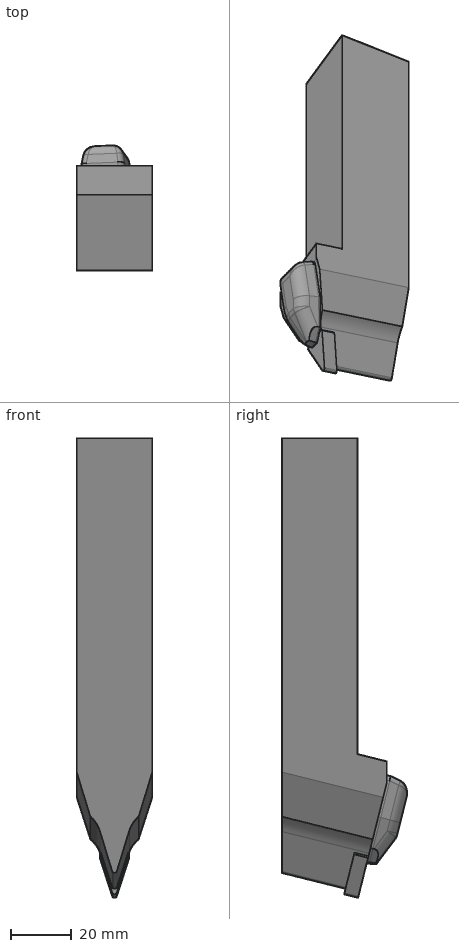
import cadquery as cq
import math


tool_width = 24.92
shank_depth = 25.0
head_depth = 34.6
step_height = 104.0
rake_angle = 14.0
half_nose_angle = 17.5
nose_radius = 0.8

face_height = 61.0
insert_thickness = 4.7625
insert_tip_depth = 140.77
insert_top_depth = 126.6
insert_corner_chamfer = 0.6
blade_tip_depth = 138.9
shoulder_end_depth = 120.9
neck_end_depth = 125.6
neck_radius = 10.0
taper_start_depth = 106.6

clamp_swing = 10.0
clamp_back_x = -4.15
clamp_back_depth = 100.2
clamp_half_width = 7.2
clamp_straight = 14.5
clamp_facet_length = 10.4
clamp_facet_inset = 2.4
clamp_nose_length = 4.13
clamp_nose_inset = 3.23
clamp_corner_radius = 1.905
clamp_base_height = 0.7
clamp_height = 7.5
clamp_draft = 10.0
clamp_root = 1.5
clamp_slope_start = 18.0
clamp_nose_height = 3.0
clamp_edge_radius = 4.4
clamp_nose_clearance = 1.0

rake = math.radians(rake_angle)
nose = math.radians(half_nose_angle)
half_width = tool_width / 2
seat_height = face_height - insert_thickness
clamp_length = clamp_straight + clamp_facet_length + clamp_nose_length
lowest_rounded_edge = (clamp_height + clamp_nose_height) / 2
reach = 200.0


def raked_plane(height):
    """Plane parallel to the cutting face: local x is X, local y is the depth along the face."""
    normal = cq.Vector(0, math.cos(rake), -math.sin(rake))
    return cq.Plane(origin=normal * height, xDir=(1, 0, 0), normal=normal)


def v_half_width(depth, tip_depth):
    """Half width of a nose-rounded V at a depth above its tip."""
    apex_depth = tip_depth + nose_radius * (1 / math.sin(nose) - 1)
    return (apex_depth - depth) * math.tan(nose)


def nose_tangent(tip_depth):
    """Point where the right flank of the V runs into the nose arc."""
    return (
        nose_radius * math.cos(nose),
        tip_depth - nose_radius * (1 - math.sin(nose)),
    )


def blade_prism():
    """Outline of the tapered blade, swept along the rake direction."""
    shoulder_x = half_width - (shoulder_end_depth - taper_start_depth) * math.tan(nose)
    neck_x = v_half_width(neck_end_depth, blade_tip_depth)
    tangent_x, tangent_depth = nose_tangent(blade_tip_depth)
    return (
        cq.Workplane(raked_plane(-reach))
        .moveTo(-half_width, -reach)
        .lineTo(-half_width, taper_start_depth)
        .lineTo(-shoulder_x, shoulder_end_depth)
        .radiusArc((-neck_x, neck_end_depth), -neck_radius)
        .lineTo(-tangent_x, tangent_depth)
        .threePointArc((0, blade_tip_depth), (tangent_x, tangent_depth))
        .lineTo(neck_x, neck_end_depth)
        .radiusArc((shoulder_x, shoulder_end_depth), -neck_radius)
        .lineTo(half_width, taper_start_depth)
        .lineTo(half_width, -reach)
        .close()
        .extrude(2 * reach)
    )


def side_prism():
    """Side outline: straight shank, stepped head and raked cutting face."""
    head_top = step_height + (head_depth - shank_depth) * math.tan(rake)
    face_top = (face_height - head_depth * math.cos(rake)) / math.sin(rake)
    face_foot_y = (face_height - reach * math.sin(rake)) / math.cos(rake)
    return (
        cq.Workplane("YZ")
        .moveTo(0, 0)
        .lineTo(shank_depth, 0)
        .lineTo(shank_depth, -step_height)
        .lineTo(head_depth, -head_top)
        .lineTo(head_depth, -face_top)
        .lineTo(face_foot_y, -reach)
        .lineTo(0, -reach)
        .close()
        .extrude(half_width, both=True)
    )


def insert_seat():
    """Space removed from the cutting face for the insert and open below it."""
    return (
        cq.Workplane(raked_plane(seat_height))
        .moveTo(0, (insert_top_depth + reach) / 2)
        .rect(tool_width, reach - insert_top_depth)
        .extrude(insert_thickness)
    )


def clamp_outline(height):
    """Plan outline of the clamp from its back edge: straight sides, then a facet and a nose bevel."""
    facet_end = clamp_straight + clamp_facet_length
    facet_x = clamp_half_width - clamp_facet_inset
    nose_x = facet_x - clamp_nose_inset
    return (
        cq.Workplane("XY", origin=(0, 0, height))
        .moveTo(-clamp_half_width, 0)
        .lineTo(clamp_half_width, 0)
        .lineTo(clamp_half_width, clamp_straight)
        .lineTo(facet_x, facet_end)
        .lineTo(nose_x, clamp_length)
        .lineTo(-nose_x, clamp_length)
        .lineTo(-facet_x, facet_end)
        .lineTo(-clamp_half_width, clamp_straight)
        .close()
    )


def clamp_nose_slope():
    """Wedge above the sloping top of the clamp nose."""
    return (
        cq.Workplane("YZ")
        .moveTo(clamp_slope_start, clamp_height)
        .lineTo(clamp_length, clamp_nose_height)
        .lineTo(clamp_length, 2 * clamp_height)
        .lineTo(clamp_slope_start, 2 * clamp_height)
        .close()
        .extrude(clamp_half_width, both=True)
    )


def round_back_corners(body):
    """Round the two upright back corners of the clamp, with their mitres in the edge rounding."""
    inner_x = clamp_half_width - clamp_edge_radius
    for side in (-1, 1):
        corner = cq.selectors.BoxSelector(
            (side * inner_x, -clamp_edge_radius, -clamp_root),
            (side * 2 * clamp_half_width, clamp_edge_radius, clamp_height),
        )
        body = body.edges(corner).fillet(clamp_corner_radius)
    return body


def clamp():
    """Clamp finger, built upright on its back edge and then set on the cutting face."""
    root = clamp_outline(-clamp_root).extrude(clamp_root + clamp_base_height)
    finger = (
        clamp_outline(clamp_base_height)
        .extrude(clamp_height - clamp_base_height, taper=clamp_draft)
        .cut(clamp_nose_slope())
    )
    upper_edges = cq.selectors.BoxSelector(
        (-clamp_half_width, 0, lowest_rounded_edge),
        (clamp_half_width, clamp_straight + clamp_facet_length - clamp_nose_clearance, 2 * clamp_height),
    )
    finger = finger.edges(upper_edges).fillet(clamp_edge_radius)
    body = round_back_corners(root).union(round_back_corners(finger))
    place = raked_plane(face_height).rotated((0, 0, -clamp_swing))
    place.origin = raked_plane(face_height).toWorldCoords((clamp_back_x, clamp_back_depth, 0))
    return cq.Workplane(body.val().moved(cq.Location(place)))


def insert():
    """V insert, standing proud of the blade all round."""
    top_x = v_half_width(insert_top_depth + insert_corner_chamfer, insert_tip_depth)
    tangent_x, tangent_depth = nose_tangent(insert_tip_depth)
    corner_depth = insert_top_depth + insert_corner_chamfer
    return (
        cq.Workplane(raked_plane(seat_height))
        .moveTo(-tangent_x, tangent_depth)
        .threePointArc((0, insert_tip_depth), (tangent_x, tangent_depth))
        .lineTo(top_x, corner_depth)
        .lineTo(top_x - insert_corner_chamfer, insert_top_depth)
        .lineTo(insert_corner_chamfer - top_x, insert_top_depth)
        .lineTo(-top_x, corner_depth)
        .close()
        .extrude(insert_thickness)
    )


cutting_insert = insert()
holder = side_prism().intersect(blade_prism()).union(clamp()).cut(insert_seat())

result = cq.Compound.makeCompound([holder.val(), cutting_insert.val()])